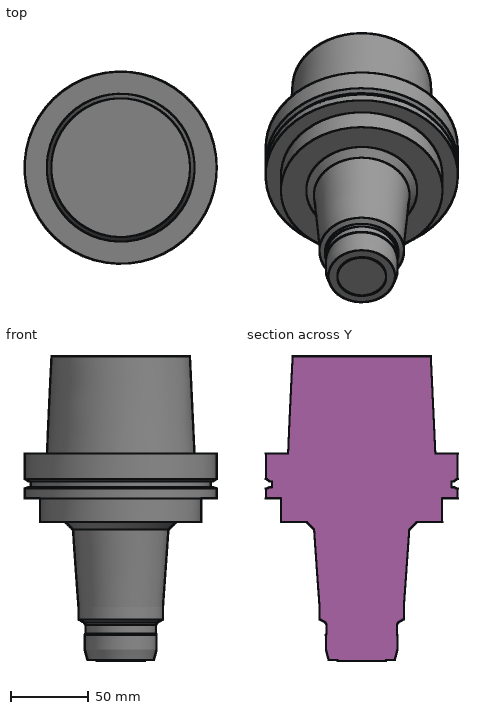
import cadquery as cq

end_boss_height = 0.5
nose_taper_top = 7.3
nose_top = 17.0
neck_bottom = 18.0
neck_top = 23.5
throat_top = 25.1
collar_bottom = 27.1
collar_top = 35.0
shank_top = 85.3
hub_bottom = 90.3
flange_bottom = 105.7
groove_lower_edge = 112.0
groove_bottom = 113.0
groove_top = 116.6
groove_upper_edge = 118.5
flange_top = 134.8
total_height = 198.0

end_boss_diameter = 31.7
nose_end_diameter = 43.2
nose_diameter = 46.7
neck_diameter = 46.0
throat_diameter = 48.0
collar_diameter = 55.0
shank_top_diameter = 62.2
hub_diameter = 105.0
flange_diameter = 125.0
groove_diameter = 117.0
groove_bevel_diameter = 119.5
head_base_diameter = 96.0
head_top_diameter = 90.0

shank_flare_diameter = shank_top_diameter + 2 * (hub_bottom - shank_top)

nose_section = [
    (end_boss_diameter, 0),
    (end_boss_diameter, end_boss_height),
    (nose_end_diameter, end_boss_height),
    (nose_diameter, nose_taper_top),
    (nose_diameter, nose_top),
    (neck_diameter, neck_bottom),
    (neck_diameter, neck_top),
]
shank_section = [
    (throat_diameter, throat_top),
    (collar_diameter, collar_bottom),
    (collar_diameter, collar_top),
    (shank_top_diameter, shank_top),
    (shank_flare_diameter, hub_bottom),
]
flange_section = [
    (hub_diameter, hub_bottom),
    (hub_diameter, flange_bottom),
    (flange_diameter, flange_bottom),
    (flange_diameter, groove_lower_edge),
    (groove_bevel_diameter, groove_bottom),
    (groove_diameter, groove_bottom),
    (groove_diameter, groove_top),
    (groove_bevel_diameter, groove_top),
    (flange_diameter, groove_upper_edge),
    (flange_diameter, flange_top),
]
head_section = [
    (head_base_diameter, flange_top),
    (head_top_diameter, total_height),
]


def revolve_section(corners):
    """Turn (diameter, height) corners into a solid of revolution about Z."""
    outline = [(diameter / 2, height) for diameter, height in corners]
    axis_bottom = (0, 0)
    axis_top = (0, total_height)
    profile = cq.Workplane("XZ").polyline([axis_bottom] + outline + [axis_top]).close()
    return profile.revolve(360, axis_bottom, axis_top)


result = revolve_section(nose_section + shank_section + flange_section + head_section)